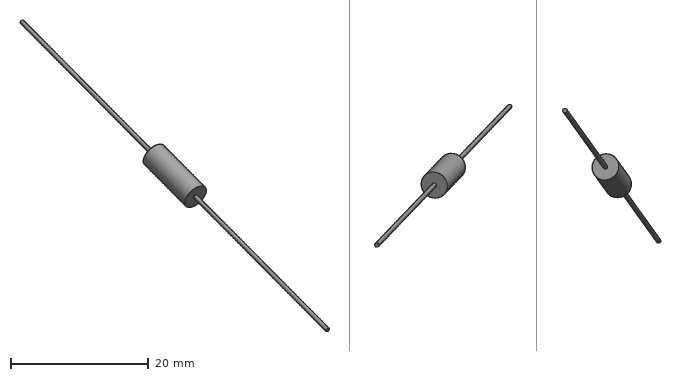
import cadquery as cq

overall_length = 73.65
body_length = 10.0
body_diameter = 4.0
lead_diameter = 0.65


def cylinder_along_x(diameter, length):
    """Return a cylinder on the X axis, centred on the origin."""
    half_profile = cq.Workplane("XZ").rect(length, diameter / 2, centered=(True, False))
    return half_profile.revolve(360, (0, 0, 0), (1, 0, 0))


body = cylinder_along_x(body_diameter, body_length)
lead = cylinder_along_x(lead_diameter, overall_length)

result = body.union(lead)